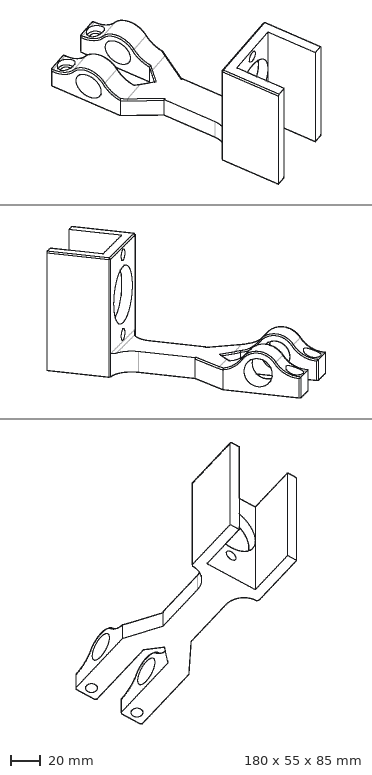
import cadquery as cq
import math

length = 180.0
width = 55.0
height = 85.0
edge_chamfer = 1.0

arm_height = 15.0
arm_width = 23.4
leg_width = 17.5
leg_end_x = 55.0
taper_end_x = 80.0
bore_x = 30.0
bore_diameter = 20.0
boss_radius = 15.0
flare_radius = 20.0

screw_x = 7.0
screw_diameter = 8.0
counterbore_diameter = 12.0
counterbore_depth = 5.0

bracket_length = 45.0
wall = 7.5
window_diameter = 40.0
window_z = 50.0
mount_diameter = 8.0
mount_offset = 28.5
root_fillet = 15.0
top_fillet = 1.8

half_width = width / 2
half_arm = arm_width / 2
half_gap = half_width - leg_width
leg_y = half_width - leg_width / 2
bracket_x = length - bracket_length


def make_fork():
    """Two bored legs merging into the arm behind a 45 degree V notch."""
    plan = (
        cq.Workplane("XY")
        .moveTo(0, half_width)
        .lineTo(leg_end_x, half_width)
        .lineTo(taper_end_x, half_arm)
        .lineTo(taper_end_x, -half_arm)
        .lineTo(leg_end_x, -half_width)
        .lineTo(0, -half_width)
        .lineTo(0, -half_gap)
        .lineTo(leg_end_x, -half_gap)
        .lineTo(leg_end_x + half_gap, 0)
        .lineTo(leg_end_x, half_gap)
        .lineTo(0, half_gap)
        .close()
        .extrude(height)
    )

    centre_distance = boss_radius + flare_radius
    flare_reach = math.sqrt(centre_distance**2 - flare_radius**2)
    tangent_dx = boss_radius * flare_reach / centre_distance
    tangent_z = arm_height + boss_radius * flare_radius / centre_distance
    half_angle = math.atan2(flare_reach, flare_radius) / 2
    middle_dx = flare_reach - flare_radius * math.sin(half_angle)
    middle_z = arm_height + flare_radius * (1 - math.cos(half_angle))

    profile = (
        cq.Workplane("XZ")
        .moveTo(0, 0)
        .lineTo(0, arm_height)
        .lineTo(bore_x - flare_reach, arm_height)
        .threePointArc((bore_x - middle_dx, middle_z), (bore_x - tangent_dx, tangent_z))
        .threePointArc((bore_x, arm_height + boss_radius), (bore_x + tangent_dx, tangent_z))
        .threePointArc((bore_x + middle_dx, middle_z), (bore_x + flare_reach, arm_height))
        .lineTo(taper_end_x, arm_height)
        .lineTo(taper_end_x, 0)
        .close()
        .extrude(half_width, both=True)
    )
    fork = plan.intersect(profile)

    upper_zone = cq.selectors.BoxSelector(
        (0, -width, arm_height - edge_chamfer),
        (length, width, height),
    )
    upper_edges = fork.edges(upper_zone).edges("not |Y").vals()
    tip_edges = fork.faces("<X").edges("|Z").vals()
    fork = fork.newObject(upper_edges + tip_edges).chamfer(edge_chamfer)

    bore = (
        cq.Workplane("XZ")
        .center(bore_x, arm_height)
        .circle(bore_diameter / 2)
        .extrude(half_width, both=True)
    )
    fork = fork.cut(bore)
    for y in (-leg_y, leg_y):
        screw = cq.Workplane("XY").center(screw_x, y)
        fork = fork.cut(screw.circle(screw_diameter / 2).extrude(height))
        counterbore = screw.workplane(offset=arm_height - counterbore_depth)
        fork = fork.cut(counterbore.circle(counterbore_diameter / 2).extrude(height))
    return fork


def make_arm():
    """Straight bar flaring with quarter rounds where it meets the bracket."""
    start = bracket_x - root_fillet
    root_y = half_arm + root_fillet
    middle_x = start + root_fillet * math.sin(math.pi / 4)
    middle_y = half_arm + root_fillet * (1 - math.cos(math.pi / 4))
    return (
        cq.Workplane("XY")
        .moveTo(taper_end_x, -half_arm)
        .lineTo(start, -half_arm)
        .threePointArc((middle_x, -middle_y), (bracket_x, -root_y))
        .lineTo(bracket_x, root_y)
        .threePointArc((middle_x, middle_y), (start, half_arm))
        .lineTo(taper_end_x, half_arm)
        .close()
        .extrude(arm_height)
    )


def make_bracket():
    """Upright channel, open toward +X, with chamfered outer edges."""
    block = (
        cq.Workplane("XY")
        .box(bracket_length, width, height, centered=(False, True, False))
        .translate((bracket_x, 0, 0))
    )
    upright_edges = block.faces("<X").edges("|Z").vals()
    top_edges = block.faces(">Z").edges("|X or <X").vals()
    block = block.newObject(upright_edges + top_edges).chamfer(edge_chamfer)
    pocket = (
        cq.Workplane("XY")
        .box(bracket_length, width - 2 * wall, height, centered=(False, True, False))
        .translate((bracket_x + wall, 0, 0))
    )
    return block.cut(pocket)


def make_top_fillet():
    """Concave strip between the arm top and the bracket, inside the arm outline."""
    strip = (
        cq.Workplane("XZ")
        .moveTo(bracket_x - top_fillet, arm_height)
        .radiusArc((bracket_x, arm_height + top_fillet), -top_fillet)
        .lineTo(bracket_x, arm_height)
        .close()
        .extrude(half_width, both=True)
    )
    return strip.intersect(make_arm().translate((0, 0, arm_height)))


def make_bracket_holes():
    """Large window with a screw hole above and below it."""
    def cutter(diameter, z):
        return (
            cq.Workplane("YZ", origin=(bracket_x, 0, z))
            .circle(diameter / 2)
            .extrude(wall)
        )

    holes = cutter(window_diameter, window_z)
    for offset in (-mount_offset, mount_offset):
        holes = holes.union(cutter(mount_diameter, window_z + offset))
    return holes


result = make_fork().union(make_arm()).union(make_bracket()).union(make_top_fillet())
result = result.cut(make_bracket_holes())